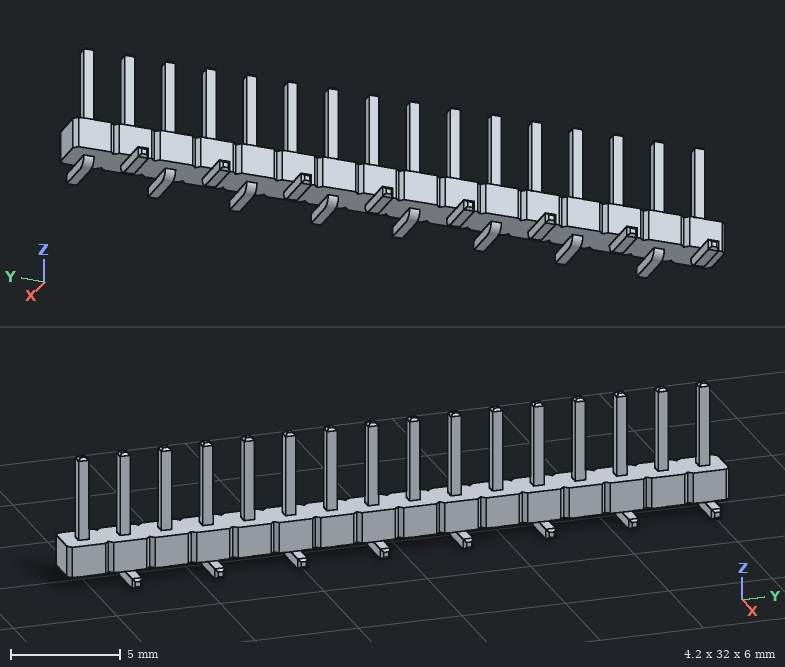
import cadquery as cq

pin_count = 16
pitch = 2.0
row_length = pin_count * pitch

body_width = 2.0
body_height = 1.5
corner_chamfer = 0.2

pin_size = 0.5
pin_top = 6.0
foot_reach = 2.1
bend_radius = pin_size
tip_length = pin_size / 4
tip_inset = tip_length
tip_size = pin_size - 2 * tip_inset

body_bottom = pin_size


def body_segment(y):
    """One chamfered block of the body; neighbouring chamfers form the V notches."""
    return (
        cq.Workplane("XY")
        .box(body_width, pitch, body_height, centered=(True, True, False))
        .edges("|Z")
        .chamfer(corner_chamfer)
        .translate((0, y, body_bottom))
    )


def tapered_tip():
    """Square pyramid stub growing along +Z from its full-size base at the origin."""
    return (
        cq.Workplane("XY")
        .rect(pin_size, pin_size)
        .workplane(offset=tip_length)
        .rect(tip_size, tip_size)
        .loft()
    )


def bent_pin():
    """Pin at the origin with its foot pointing to -X and a rounded outer bend."""
    half = pin_size / 2
    shank_top = pin_top - tip_length
    foot_end = -foot_reach + tip_length

    wire = (
        cq.Workplane("XZ")
        .moveTo(foot_end, 0)
        .lineTo(half - bend_radius, 0)
        .radiusArc((half, bend_radius), -bend_radius)
        .lineTo(half, shank_top)
        .lineTo(-half, shank_top)
        .lineTo(-half, pin_size)
        .lineTo(foot_end, pin_size)
        .close()
        .extrude(half, both=True)
    )
    top_tip = tapered_tip().translate((0, 0, shank_top))
    foot_tip = (
        tapered_tip()
        .rotate((0, 0, 0), (0, 1, 0), -90)
        .translate((foot_end, 0, half))
    )
    return wire.union(top_tip).union(foot_tip)


left_pin = bent_pin()
right_pin = left_pin.rotate((0, 0, 0), (0, 0, 1), 180)

result = cq.Workplane("XY")
for index in range(pin_count):
    y = index * pitch + (pitch - row_length) / 2
    pin = left_pin if index % 2 == 0 else right_pin
    result = result.union(body_segment(y)).union(pin.translate((0, y, 0)))